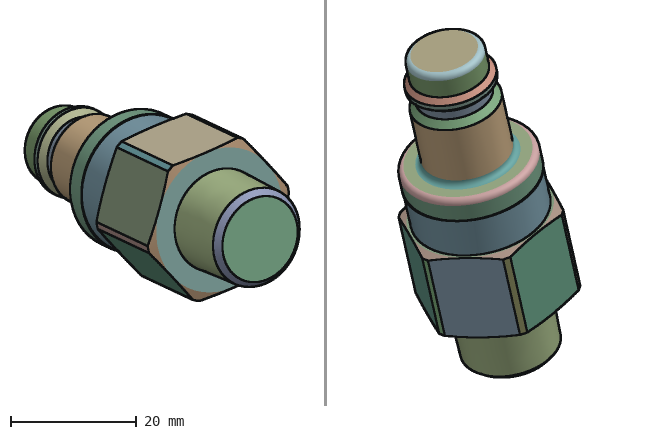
import cadquery as cq
import math

ring_start_x = 4.25
ring_crest_start_x = 5.2
ring_crest_end_x = 6.2
groove_start_x = 7.2
groove_end_x = 8.85
shank_start_x = 10.1
collar_start_x = 21.35
collar_end_x = 25.4
hex_start_x = 32.4
hex_end_x = 48.5
total_length = 60.5

tip_radius = 13.0 / 2
shank_radius = 15.0 / 2
groove_radius = 12.65 / 2
collar_radius = 23.0 / 2
sleeve_radius = 22.75 / 2
edge_round = 1.0

tail_base_radius = 8.55
tail_end_chamfer = 1.1
taper_per_length = 1 / 32

across_flats = 24.0
corner_diameter = 27.05
nut_face_diameter = 23.9
nut_chamfer_angle = 15.0
nut_rotation = 12.0

round_mid = edge_round * math.sqrt(0.5)


def make_turned_body():
    """Revolve the closed half profile about the X axis."""
    chamfer_x = total_length - tail_end_chamfer
    tail_tip_radius = tail_base_radius - taper_per_length * (chamfer_x - hex_end_x)
    tip_round_radius = tip_radius - edge_round
    collar_round_radius = collar_radius - edge_round
    neck_x = collar_start_x - edge_round
    neck_radius = shank_radius + edge_round
    collar_round_x = collar_start_x + edge_round
    profile = (
        cq.Workplane("XY")
        .moveTo(0, 0)
        .lineTo(0, tip_round_radius)
        .threePointArc((edge_round - round_mid, tip_round_radius + round_mid), (edge_round, tip_radius))
        .lineTo(ring_start_x, tip_radius)
        .lineTo(ring_crest_start_x, shank_radius)
        .lineTo(ring_crest_end_x, shank_radius)
        .lineTo(groove_start_x, groove_radius)
        .lineTo(groove_end_x, groove_radius)
        .lineTo(shank_start_x, shank_radius)
        .lineTo(neck_x, shank_radius)
        .threePointArc((neck_x + round_mid, neck_radius - round_mid), (collar_start_x, neck_radius))
        .lineTo(collar_start_x, collar_round_radius)
        .threePointArc(
            (collar_round_x - round_mid, collar_round_radius + round_mid),
            (collar_round_x, collar_radius),
        )
        .lineTo(collar_end_x, collar_radius)
        .lineTo(collar_end_x, sleeve_radius)
        .lineTo(hex_end_x, sleeve_radius)
        .lineTo(hex_end_x, tail_base_radius)
        .lineTo(chamfer_x, tail_tip_radius)
        .lineTo(total_length, tail_tip_radius - tail_end_chamfer)
        .lineTo(total_length, 0)
        .close()
    )
    return profile.revolve(360, (0, 0, 0), (1, 0, 0))


def make_nut():
    """Hexagon with turned corners and a conical chamfer at both ends."""
    hex_length = hex_end_x - hex_start_x
    across_corners = across_flats / math.cos(math.radians(30))
    hexagon = (
        cq.Workplane("YZ", origin=(hex_start_x, 0, 0))
        .polygon(6, across_corners)
        .extrude(hex_length)
        .rotate((0, 0, 0), (1, 0, 0), nut_rotation)
    )
    chamfer_height = (corner_diameter - nut_face_diameter) / 2
    chamfer_length = chamfer_height * math.tan(math.radians(nut_chamfer_angle))
    envelope = (
        cq.Workplane("XY")
        .moveTo(hex_start_x, 0)
        .lineTo(hex_start_x, nut_face_diameter / 2)
        .lineTo(hex_start_x + chamfer_length, corner_diameter / 2)
        .lineTo(hex_end_x - chamfer_length, corner_diameter / 2)
        .lineTo(hex_end_x, nut_face_diameter / 2)
        .lineTo(hex_end_x, 0)
        .close()
        .revolve(360, (0, 0, 0), (1, 0, 0))
    )
    return hexagon.intersect(envelope)


result = make_turned_body().union(make_nut())